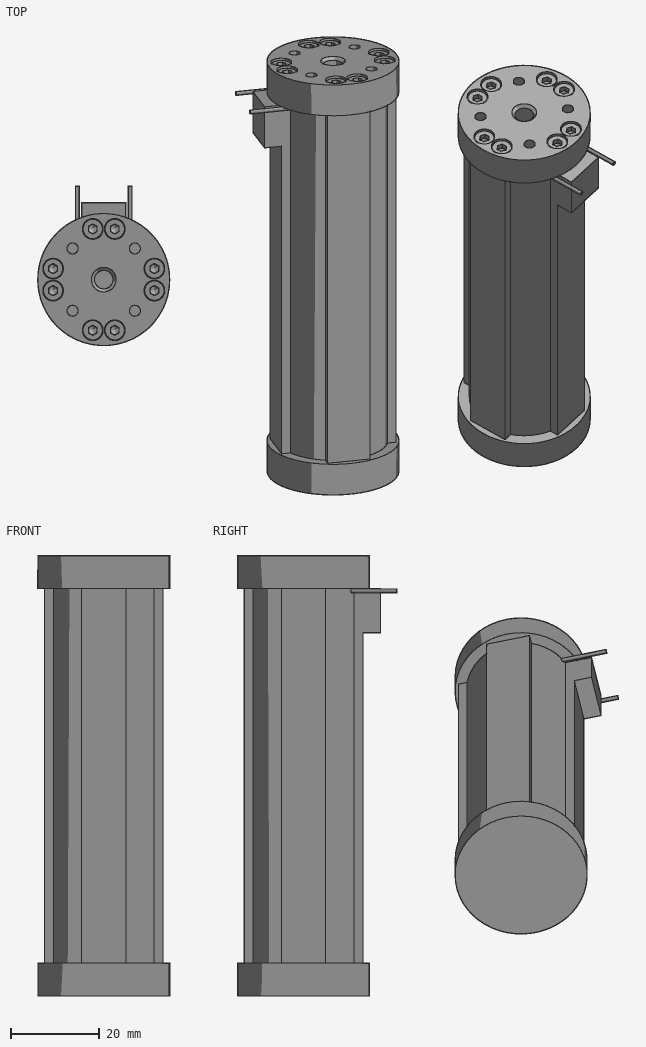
import cadquery as cq
import math

total_length = 100.0
cap_diameter = 30.0
cap_thickness = 7.5
bar_length = total_length - 2 * cap_thickness
bar_diameter = 25.0
pad_across = 27.0
pad_width = 10.0

block_width = 10.0
block_height = 10.0
block_reach = 17.5
wire_diameter = 0.9
wire_drop = 0.5
wire_spacing = 12.0
wire_reach = 21.2
wire_root = 10.0

center_hole_diameter = 4.2
center_hole_depth = 6.0
center_hole_chamfer = 0.7

pin_hole_diameter = 2.5
pin_hole_depth = 5.0
pin_circle_radius = 10.0

screw_offset = 11.5
screw_spacing = 5.0
recess_diameter = 4.7
recess_depth = 3.0
head_diameter = 4.4
head_height = 2.5
socket_across_flats = 2.0
socket_depth = 1.2
socket_tip_depth = 0.6

upper_cap_bottom = total_length - cap_thickness
head_top = total_length - recess_depth + head_height


def top_points(points):
    """Workplane on the top face holding the given points."""
    return cq.Workplane("XY", origin=(0, 0, total_length)).pushPoints(points)


def make_bar():
    """Round core crossed by two flat-faced bars, giving four flat pads."""
    base = cq.Workplane("XY", origin=(0, 0, cap_thickness))
    bar = base.circle(bar_diameter / 2).extrude(bar_length)
    for size_x, size_y in ((pad_across, pad_width), (pad_width, pad_across)):
        bar = bar.union(base.rect(size_x, size_y).extrude(bar_length))
    return bar


def make_cap(bottom):
    """Round end cap whose lower face is at the given height."""
    return cq.Workplane("XY", origin=(0, 0, bottom)).circle(cap_diameter / 2).extrude(cap_thickness)


def make_block():
    """Connector block, running from the axis out through the +Y pad."""
    block = cq.Workplane("XY", origin=(0, 0, upper_cap_bottom - block_height))
    return block.box(block_width, block_reach, block_height, centered=(True, False, False))


def make_wires():
    """Two straight wires that start inside the bar and leave along +Y."""
    wire_z = upper_cap_bottom - wire_drop
    start = cq.Plane(origin=(0, wire_root, wire_z), xDir=(1, 0, 0), normal=(0, 1, 0))
    return (
        cq.Workplane(start)
        .pushPoints([(-wire_spacing / 2, 0), (wire_spacing / 2, 0)])
        .circle(wire_diameter / 2)
        .extrude(wire_reach - wire_root)
    )


def cut_center_hole(body):
    """Blind hole on the axis with a chamfered mouth."""
    mouth_diameter = center_hole_diameter + 2 * center_hole_chamfer
    hole = top_points([(0, 0)]).circle(center_hole_diameter / 2).extrude(-center_hole_depth)
    chamfer = cq.Workplane(
        cq.Solid.makeCone(
            center_hole_diameter / 2,
            mouth_diameter / 2,
            center_hole_chamfer,
            pnt=cq.Vector(0, 0, total_length - center_hole_chamfer),
        )
    )
    return body.cut(hole).cut(chamfer)


def cut_pin_holes(body):
    """Four blind holes on the diagonals."""
    pin_offset = pin_circle_radius * math.sin(math.radians(45))
    points = [(x, y) for x in (-pin_offset, pin_offset) for y in (-pin_offset, pin_offset)]
    return body.cut(top_points(points).circle(pin_hole_diameter / 2).extrude(-pin_hole_depth))


def make_screw_head():
    """Screw head on the Z axis with a cone-bottomed hexagon socket."""
    socket_across_corners = socket_across_flats / math.cos(math.radians(30))
    head = cq.Workplane("XY", origin=(0, 0, head_top)).circle(head_diameter / 2).extrude(-head_height)
    socket = (
        cq.Workplane("XY", origin=(0, 0, head_top))
        .transformed(rotate=(0, 0, 90))
        .polygon(6, socket_across_corners)
        .extrude(-socket_depth)
    )
    tip = cq.Workplane(
        cq.Solid.makeCone(
            socket_across_flats / 2,
            0,
            socket_tip_depth,
            pnt=cq.Vector(0, 0, head_top - socket_depth),
            dir=cq.Vector(0, 0, -1),
        )
    )
    return head.cut(socket).cut(tip)


def screw_centers():
    """One pair of screws at each end of the X and Y axes."""
    half_spacing = screw_spacing / 2
    centers = []
    for side in (-half_spacing, half_spacing):
        for end in (-screw_offset, screw_offset):
            centers += [(side, end), (end, side)]
    return centers


def add_screws(body):
    """Sink a recess at every screw and seat a head on its floor."""
    centers = screw_centers()
    for x, y in centers:
        body = body.cut(top_points([(x, y)]).circle(recess_diameter / 2).extrude(-recess_depth))
    head = make_screw_head()
    for x, y in centers:
        body = body.union(head.translate((x, y, 0)))
    return body


result = make_bar().union(make_cap(0)).union(make_cap(upper_cap_bottom))
result = result.union(make_block()).union(make_wires())
result = cut_center_hole(result)
result = cut_pin_holes(result)
result = add_screws(result)